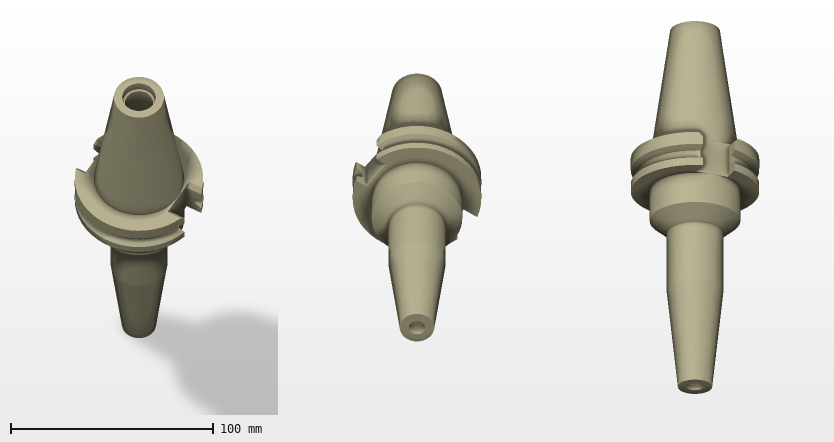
import cadquery as cq

total_length = 193.2
nose_radius = 8.5
nose_height = 52.4
shank_radius = 14.1
shank_top = 83.1
collar_radius = 22.5
collar_bottom = 90.2

taper_length = 68.5
taper_large_radius = 22.2
taper_small_radius = 12.4
taper_bottom = total_length - taper_length

flange_radius = 31.79
flange_bottom = 106.0
flange_top = 124.0
groove_floor_radius = 28.5
groove_floor_height = 3.5
groove_flank_height = 2.0
groove_center = 113.8
groove_floor_bottom = groove_center - groove_floor_height / 2
groove_floor_top = groove_center + groove_floor_height / 2

slot_width = 16.6
slot_chamfer = 2.3
left_slot_floor = 24.7
right_slot_floor = 22.5

recess_radius = 5.0
recess_depth = 0.2

through_radius = 4.0
thread_radius = 7.0
thread_depth = 31.9
pilot_radius = 8.3
pilot_depth = 4.6


def make_body():
    """Revolve the outside profile around the Z axis."""
    profile = [
        (0, 0),
        (nose_radius, 0),
        (shank_radius, nose_height),
        (shank_radius, shank_top),
        (collar_radius, collar_bottom),
        (collar_radius, flange_bottom),
        (flange_radius, flange_bottom),
        (flange_radius, groove_floor_bottom - groove_flank_height),
        (groove_floor_radius, groove_floor_bottom),
        (groove_floor_radius, groove_floor_top),
        (flange_radius, groove_floor_top + groove_flank_height),
        (flange_radius, flange_top),
        (taper_large_radius, flange_top),
        (taper_large_radius, taper_bottom),
        (taper_small_radius, total_length),
        (0, total_length),
    ]
    return cq.Workplane("XZ").polyline(profile).close().revolve(360, (0, 0), (0, 1))


def make_slot(side, floor):
    """Drive slot through the flange with chamfered upper edges; side is -1 or 1 along X."""
    half_width = slot_width / 2
    mouth_half_width = half_width + slot_chamfer
    chamfer_bottom = flange_top - slot_chamfer
    section = [
        (-half_width, flange_bottom),
        (half_width, flange_bottom),
        (half_width, chamfer_bottom),
        (mouth_half_width, flange_top),
        (-mouth_half_width, flange_top),
        (-half_width, chamfer_bottom),
    ]
    plane = cq.Workplane("YZ", origin=(side * floor, 0, 0))
    return plane.polyline(section).close().extrude(side * (flange_radius - floor))


def make_recess():
    """Shallow round recess sunk into the left slot floor."""
    plane = cq.Workplane("YZ", origin=(-left_slot_floor, 0, groove_center))
    return plane.circle(recess_radius).extrude(recess_depth)


def make_bore():
    """Through bore widened by the thread hole and the pilot at the taper end."""
    bore = cq.Workplane("XY").circle(through_radius).extrude(total_length)
    for radius, depth in ((thread_radius, thread_depth), (pilot_radius, pilot_depth)):
        top = cq.Workplane("XY", origin=(0, 0, total_length))
        bore = bore.union(top.circle(radius).extrude(-depth))
    return bore


result = make_body()
result = result.cut(make_slot(-1, left_slot_floor))
result = result.cut(make_slot(1, right_slot_floor))
result = result.cut(make_recess())
result = result.cut(make_bore())